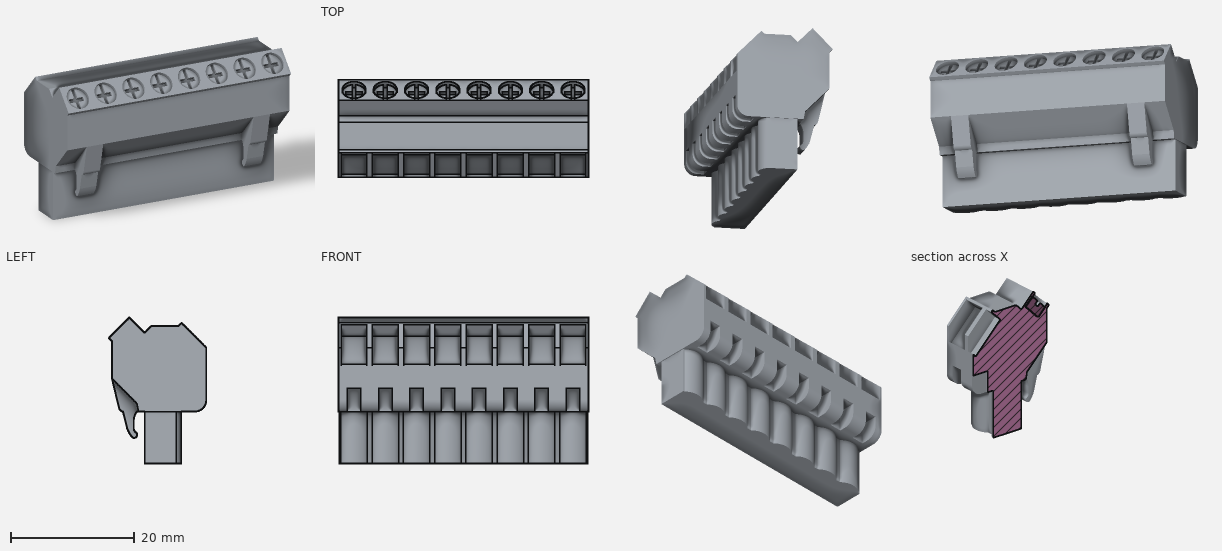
import cadquery as cq
import math


poles = 8
pitch = 5.08
row_length = poles * pitch
pole_centres = [(i - (poles - 1) / 2) * pitch for i in range(poles)]

total_height = 23.77
body_bottom = 8.45
front_top = 18.85
deck_height = 22.4
slope_top = 13.85
slope_bottom = 9.78

total_depth = 15.88
rear_face = 15.36
ridge_depth = 4.04
groove_depth = 10.04
peak_depth = 12.52
foot_depth = 11.02
front_round = 1.9

pocket_width = 4.2
pocket_top = 3.72
pocket_sink = 1.87
pocket_lip = 16.14

notch_width = 2.2
notch_top = 12.25
notch_depth = 3.0

plug_side_gap = 0.16
plug_rear = groove_depth
plug_web = 4.91
plug_front = ridge_depth
plug_round_width = 4.3

latch_width = 3.0
latch_offset = row_length / 2 - pitch
shoulder_depth = 14.2
shoulder_height = 9.05
shoulder_mid = (13.95, 8.65)
neck_rear = 13.56
neck_front = 11.3
arm_front = 11.78
arm_top = 7.0
arm_bottom = 5.8
arm_root_mid = (11.65, 7.75)
heel_depth = 12.9
heel_mid = (12.52, 4.95)
tip_rear = 11.95
tip_bottom = 4.2
tip_mid = (11.42, 4.3)
barb_depth = 11.3
barb_height = 5.0
barb_mid = (11.65, 5.3)

screw_diameter = 3.85
screw_recess = 0.7
screw_length = 2.0
slot_depth = 0.7
long_slot_width = 0.6
cross_slot_width = 0.7
cross_slot_length = 2.6


def extrude_along_row(outline, width, centre=0.0):
    """Extrude a YZ outline along X, centred on the given X."""
    return outline.extrude(width / 2, both=True).translate((centre, 0, 0))


def body_block():
    ridge_height = front_top + ridge_depth
    groove_height = total_height - (peak_depth - groove_depth)
    lip_height = total_height - (total_depth - peak_depth)
    outline = (
        cq.Workplane("YZ")
        .moveTo(0, body_bottom)
        .lineTo(0, front_top)
        .lineTo(ridge_depth, ridge_height)
        .lineTo(ridge_depth + ridge_height - deck_height, deck_height)
        .lineTo(groove_depth - (deck_height - groove_height), deck_height)
        .lineTo(groove_depth, groove_height)
        .lineTo(peak_depth, total_height)
        .lineTo(total_depth, lip_height)
        .lineTo(rear_face, lip_height - (total_depth - rear_face))
        .lineTo(rear_face, slope_top)
        .lineTo(rear_face - (slope_top - slope_bottom), slope_bottom)
        .lineTo(foot_depth, body_bottom)
        .close()
    )
    block = extrude_along_row(outline, row_length)
    front_bottom_edge = cq.selectors.NearestToPointSelector((0, 0, body_bottom))
    return block.edges(front_bottom_edge).fillet(front_round)


def wire_pocket(centre):
    inner_y = pocket_top + pocket_sink
    inner_z = front_top + pocket_top - pocket_sink
    floor_offset = inner_z - inner_y
    low_y = (pocket_lip - floor_offset) / 2
    outline = (
        cq.Workplane("YZ")
        .moveTo(pocket_top, front_top + pocket_top)
        .lineTo(inner_y, inner_z)
        .lineTo(low_y, low_y + floor_offset)
        .lineTo(0, pocket_lip)
        .lineTo(0, front_top)
        .close()
    )
    return extrude_along_row(outline, pocket_width, centre)


def test_notch(centre):
    outline = cq.Workplane("YZ").moveTo(0, body_bottom).lineTo(0, notch_top)
    outline = outline.lineTo(notch_depth, notch_top).lineTo(notch_depth, body_bottom).close()
    return extrude_along_row(outline, notch_width, centre)


def plug():
    half_length = row_length / 2 - plug_side_gap
    half_round = plug_round_width / 2
    outline = cq.Workplane("XY").moveTo(-half_length, plug_rear).lineTo(-half_length, plug_web)
    for centre in pole_centres:
        outline = outline.lineTo(centre - half_round, plug_web)
        outline = outline.threePointArc((centre, plug_front), (centre + half_round, plug_web))
    outline = outline.lineTo(half_length, plug_web).lineTo(half_length, plug_rear).close()
    return outline.extrude(body_bottom)


def latch(centre):
    outline = (
        cq.Workplane("YZ")
        .moveTo(rear_face, slope_top)
        .lineTo(shoulder_depth, shoulder_height)
        .threePointArc(shoulder_mid, (neck_rear, body_bottom))
        .lineTo(heel_depth, arm_bottom)
        .threePointArc(heel_mid, (tip_rear, tip_bottom))
        .threePointArc(tip_mid, (barb_depth, barb_height))
        .threePointArc(barb_mid, (arm_front, arm_bottom))
        .lineTo(arm_front, arm_top)
        .threePointArc(arm_root_mid, (neck_front, body_bottom))
        .lineTo(foot_depth, body_bottom)
        .lineTo(rear_face - (slope_top - slope_bottom), slope_bottom)
        .close()
    )
    return extrude_along_row(outline, latch_width, centre)


def screw_plane(centre, depth):
    """Plane parallel to the rear face, on a screw axis, at a depth below the face."""
    along = math.sqrt(0.5) * depth
    half_face = (total_depth - peak_depth) / 2
    origin = (centre, peak_depth + half_face - along, total_height - half_face - along)
    return cq.Plane(origin=origin, xDir=(1, 0, 0), normal=(0, 1, 1))


def screw_hole(centre):
    face = cq.Workplane(screw_plane(centre, 0))
    return face.circle(screw_diameter / 2).extrude(-(screw_recess + screw_length))


def screw(centre):
    head = cq.Workplane(screw_plane(centre, screw_recess))
    body = head.circle(screw_diameter / 2).extrude(-screw_length)
    long_slot = head.rect(long_slot_width, 2 * screw_diameter).extrude(-slot_depth)
    cross_slot = head.rect(cross_slot_length, cross_slot_width).extrude(-slot_depth)
    return body.cut(long_slot).cut(cross_slot)


housing = body_block().union(plug())
for side in (-1, 1):
    housing = housing.union(latch(side * latch_offset))
for pole_centre in pole_centres:
    housing = housing.cut(wire_pocket(pole_centre))
    housing = housing.cut(test_notch(pole_centre))
    housing = housing.cut(screw_hole(pole_centre))

screws = [screw(pole_centre).val() for pole_centre in pole_centres]

result = cq.Compound.makeCompound([housing.val(), *screws])